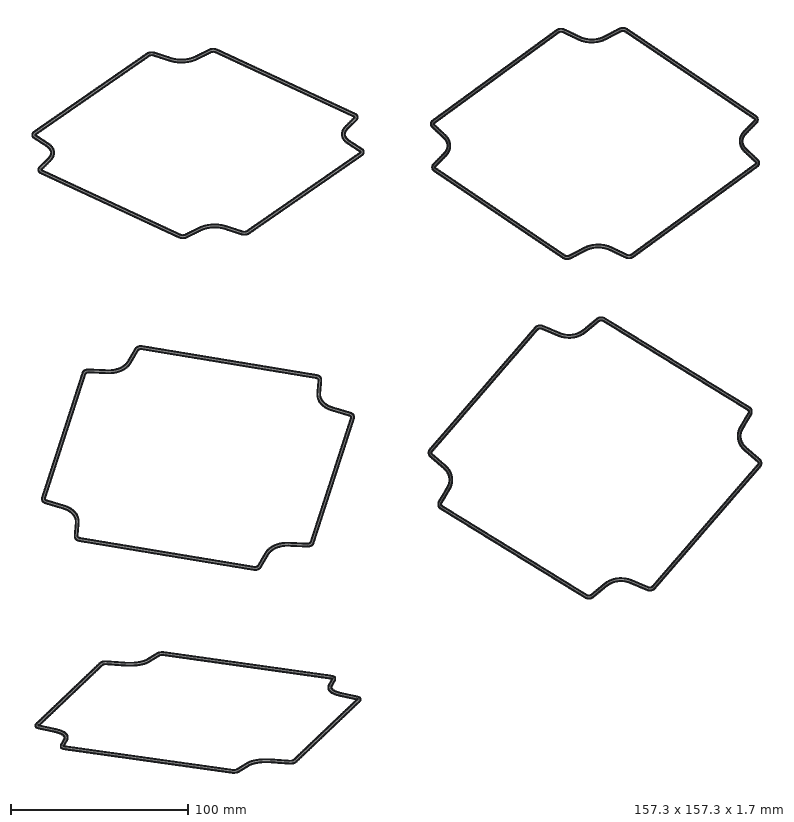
import cadquery as cq
import math

outer_size = 157.3
cord_size = 1.7
cord_flat = 0.24
flank_angle = 9.5
scoop_vertex = 56.3
scoop_radius = 12.5
shoulder_radius = 2.7

cord_corner_radius = (cord_size - cord_flat) / 2
half_side = (outer_size - cord_size) / 2
flank_drop = (half_side - scoop_vertex) * math.tan(math.radians(flank_angle))
half_length = scoop_vertex - flank_drop


def point_toward(start, end, distance):
    """Point at the given distance from start on the line to end."""
    span = math.dist(start, end)
    return tuple(s + (e - s) * distance / span for s, e in zip(start, end))


def rounded_corner(before, vertex, after, radius):
    """Start, middle and end of the arc that rounds a sharp vertex."""
    angle_before = math.atan2(before[1] - vertex[1], before[0] - vertex[0])
    angle_after = math.atan2(after[1] - vertex[1], after[0] - vertex[0])
    half_angle = math.acos(math.cos(angle_before - angle_after)) / 2
    tangent_length = radius / math.tan(half_angle)
    start = point_toward(vertex, before, tangent_length)
    end = point_toward(vertex, after, tangent_length)
    chord_middle = ((start[0] + end[0]) / 2, (start[1] + end[1]) / 2)
    middle = point_toward(vertex, chord_middle, radius / math.sin(half_angle) - radius)
    return start, middle, end


def sharp_corners():
    """Sharp vertices of the centerline with their radii, counterclockwise."""
    quarter = [
        (half_side, half_length, shoulder_radius),
        (scoop_vertex, scoop_vertex, scoop_radius),
        (half_length, half_side, shoulder_radius),
    ]
    corners = []
    for _ in range(4):
        corners += quarter
        quarter = [(-y, x, radius) for x, y, radius in quarter]
    return corners


def cord_centerline():
    """Closed centerline, starting in the middle of the +X side."""
    corners = sharp_corners()
    path = cq.Workplane("XY").moveTo(half_side, 0)
    for i, (x, y, radius) in enumerate(corners):
        before = corners[i - 1][:2]
        after = corners[(i + 1) % len(corners)][:2]
        start, middle, end = rounded_corner(before, (x, y), after, radius)
        path = path.lineTo(*start).threePointArc(middle, end)
    return path.close()


cord_section = cq.Sketch().rect(cord_size, cord_size).vertices().fillet(cord_corner_radius)
section_plane = cq.Workplane("XZ", origin=(half_side, 0, 0))
result = section_plane.placeSketch(cord_section).sweep(cord_centerline())